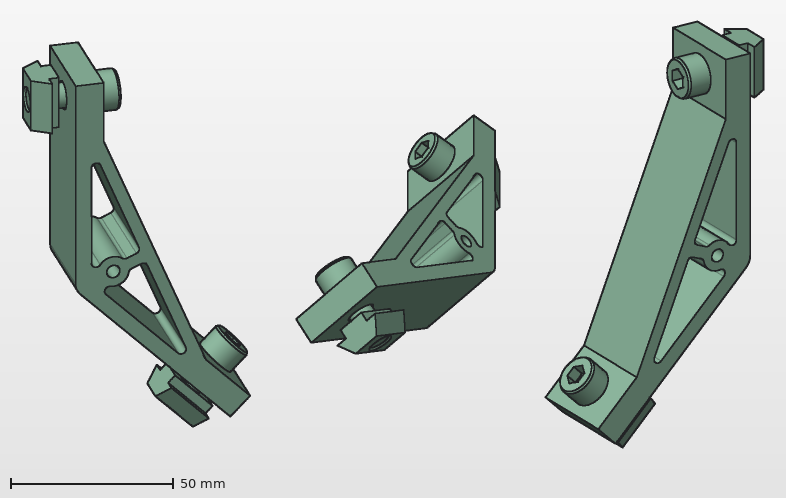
import cadquery as cq
import math

width = 30.0
arm_length = 70.0
arm_thickness = 9.0
pad_length = 20.0
arm_tilt = 67.5
corner_radius = 5.0
wall = 5.0
brace = 4.0
web = 4.0
pocket_radius = 1.5
pivot_distance = 13.0
pivot_diameter = 4.2
boss_radius = 5.0

screw_setback = 10.0
clearance_diameter = 9.0
shank_diameter = 8.0
thread_diameter = 6.7
head_diameter = 13.0
head_height = 8.0
head_bevel_height = 0.8
head_face_diameter = 12.2
socket_flats = 6.0
socket_corners = socket_flats / math.cos(math.pi / 6)
socket_depth = 4.0
socket_cone = 2.0
hexagon_turn = 30

nut_gap = 2.5
nut_length = 17.0
nut_width = 17.2
nut_neck_width = 9.5
nut_neck_height = 3.2
nut_outer = 11.5
countersink = (shank_diameter - thread_diameter) / 2

bisector = math.radians(90 - arm_tilt)
cos_tilt = math.cos(math.radians(arm_tilt))
sin_tilt = math.sin(math.radians(arm_tilt))
frame = cq.Plane(
    origin=(-width / 2, 0, 0),
    xDir=(0, math.cos(bisector), math.sin(bisector)),
    normal=(1, 0, 0),
)


def on_arm(along, depth):
    """Point at a length along the upper arm and a depth behind its outer face."""
    return (along * cos_tilt + depth * sin_tilt, along * sin_tilt - depth * cos_tilt)


def mirrored(point):
    return (point[0], -point[1])


def on_circle(center, radius, angle):
    return (center[0] + radius * math.cos(angle), center[1] + radius * math.sin(angle))


def direction(start, end):
    return math.atan2(end[1] - start[1], end[0] - start[0])


def pocket():
    """Pocket beside the upper arm, bounded by arm, brace, web and boss, with round corners."""
    r = pocket_radius
    reach = boss_radius + r
    hub = (pivot_distance, 0)
    brace_u = on_arm(arm_length - pad_length, arm_thickness)[0] - brace
    web_v = web / 2 + r

    tip_u = brace_u - r
    tip = (tip_u, (tip_u * sin_tilt - wall - r) / cos_tilt)
    heel = (tip_u, web_v)
    neck = (pivot_distance + math.sqrt(reach**2 - web_v**2), web_v)
    hub_to_center = pivot_distance * sin_tilt - wall - r
    root_along = pivot_distance * cos_tilt + math.sqrt(reach**2 - hub_to_center**2)
    root = on_arm(root_along, wall + r)

    to_wall = math.radians(arm_tilt + 90)
    neck_angle = direction(hub, neck)
    root_angle = direction(hub, root)
    root_to_hub = root_angle - math.pi
    neck_to_hub = neck_angle - math.pi
    boss_middle = (neck_angle + root_angle) / 2

    return (
        cq.Workplane(frame)
        .moveTo(*on_circle(tip, r, to_wall))
        .threePointArc(on_circle(tip, r, to_wall / 2), on_circle(tip, r, 0))
        .lineTo(*on_circle(heel, r, 0))
        .threePointArc(on_circle(heel, r, -math.pi / 4), on_circle(heel, r, -math.pi / 2))
        .lineTo(*on_circle(neck, r, -math.pi / 2))
        .threePointArc(
            on_circle(neck, r, (neck_to_hub - math.pi / 2) / 2),
            on_circle(neck, r, neck_to_hub),
        )
        .threePointArc(
            on_circle(hub, boss_radius, boss_middle),
            on_circle(hub, boss_radius, root_angle),
        )
        .threePointArc(
            on_circle(root, r, (root_to_hub + to_wall - 2 * math.pi) / 2),
            on_circle(root, r, to_wall),
        )
        .close()
        .extrude(width)
    )


def make_bracket(screw_planes):
    arm_end = on_arm(arm_length, 0)
    arm_end_back = on_arm(arm_length, arm_thickness)
    pad_end = on_arm(arm_length - pad_length, arm_thickness)
    corner = (0, 0)
    body = (
        cq.Workplane(frame)
        .polyline([
            corner, arm_end, arm_end_back, pad_end,
            mirrored(pad_end), mirrored(arm_end_back), mirrored(arm_end),
        ])
        .close()
        .extrude(width)
    )
    body = body.edges(cq.NearestToPointSelector((0, 0, 0))).fillet(corner_radius)

    upper_pocket = pocket()
    lower_pocket = upper_pocket.mirror(frame.yDir, (0, 0, 0))
    pivot = cq.Workplane(frame).center(pivot_distance, 0).circle(pivot_diameter / 2).extrude(width)
    body = body.cut(upper_pocket).cut(lower_pocket).cut(pivot)

    for plane in screw_planes:
        body = body.cut(cq.Workplane(plane).circle(clearance_diameter / 2).extrude(-arm_thickness))
    return body


def cone(plane, start, start_diameter, height, end_diameter):
    """Cone on the screw axis; a negative height runs toward the screw head."""
    base = plane.toWorldCoords((0, 0, start))
    axis = plane.zDir * math.copysign(1, height)
    solid = cq.Solid.makeCone(start_diameter / 2, end_diameter / 2, abs(height), base, axis)
    return cq.Workplane(solid)


def make_screw(plane):
    """Socket head cap screw seated on the back of the arm; its narrower end fills the nut's thread."""
    seat = cq.Workplane(plane).workplane(offset=-arm_thickness)
    bevel_start = -arm_thickness - head_height + head_bevel_height
    head = seat.circle(head_diameter / 2).extrude(-head_height + head_bevel_height)
    bevel = cone(plane, bevel_start, head_diameter, -head_bevel_height, head_face_diameter)
    shank = seat.circle(shank_diameter / 2).extrude(arm_thickness + nut_gap)
    thread = (
        cq.Workplane(plane)
        .circle(thread_diameter / 2)
        .extrude(nut_outer - countersink)
    )
    face = seat.workplane(offset=-head_height)
    hexagon = (
        face.transformed(rotate=(0, 0, hexagon_turn))
        .polygon(6, socket_corners)
        .extrude(socket_depth + socket_cone)
    )
    floor = socket_depth - arm_thickness - head_height
    drilling = face.circle(socket_corners / 2).extrude(socket_depth)
    drilling = drilling.union(cone(plane, floor, socket_corners, socket_cone, 0))
    socket = hexagon.intersect(drilling)
    return head.union(bevel).union(shank).union(thread).cut(socket)


def make_nut(plane):
    """T-slot nut: a neck toward the arm and wings that taper to the outer face."""
    neck = nut_neck_width / 2
    wing = nut_width / 2
    shoulder = nut_gap + nut_neck_height
    section = cq.Plane(
        origin=plane.toWorldCoords((0, nut_length / 2, 0)).toTuple(),
        xDir=plane.xDir,
        normal=-plane.yDir,
    )
    body = (
        cq.Workplane(section)
        .polyline([
            (-neck, nut_gap), (neck, nut_gap), (neck, shoulder), (wing, shoulder),
            (neck, nut_outer), (-neck, nut_outer), (-wing, shoulder), (-neck, shoulder),
        ])
        .close()
        .extrude(nut_length)
    )
    thread = cq.Workplane(plane).circle(thread_diameter / 2).extrude(nut_outer)
    sink = cone(plane, nut_outer - countersink, thread_diameter, countersink, shank_diameter)
    return body.cut(thread).cut(sink)


def screw_plane(arm_direction, outward):
    """Plane on an arm's outer face, centred on its screw axis, facing outward."""
    origin = arm_direction * (arm_length - screw_setback)
    return cq.Plane(origin=origin.toTuple(), xDir=(1, 0, 0), normal=outward.toTuple())


lower_angle = math.radians(90 - 2 * arm_tilt)
lower_arm = cq.Vector(0, math.cos(lower_angle), math.sin(lower_angle))
lower_outward = cq.Vector(0, math.sin(lower_angle), -math.cos(lower_angle))
screw_planes = [
    screw_plane(cq.Vector(0, 0, 1), cq.Vector(0, -1, 0)),
    screw_plane(lower_arm, lower_outward),
]

bracket = make_bracket(screw_planes)
screws = [make_screw(plane) for plane in screw_planes]
nuts = [make_nut(plane) for plane in screw_planes]

result = cq.Compound.makeCompound([
    bracket.val(),
    *[screw.val() for screw in screws],
    *[nut.val() for nut in nuts],
])